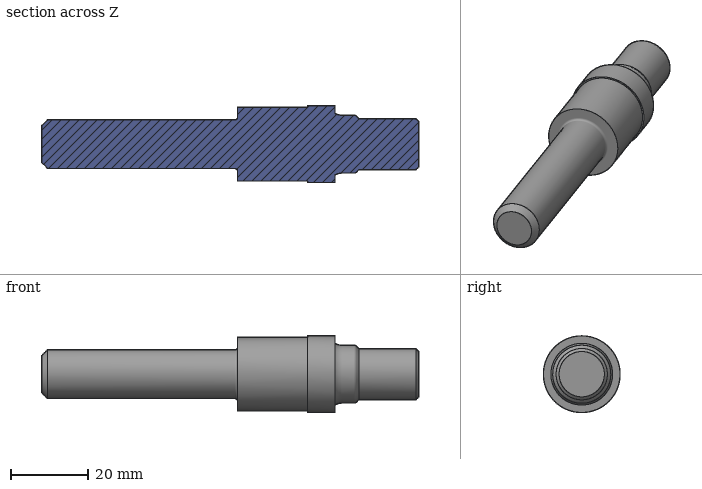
import cadquery as cq
import math

total_length = 97.8
collar_start = 50.8
flange_start = 68.9
flange_end = 76.1
shoulder_start = 77.8
spigot_start = 82.2

shaft_radius = 6.4
collar_radius = 9.6
flange_radius = 10.0
shoulder_radius = 7.5
spigot_radius = 6.65

shaft_chamfer = 1.6
shaft_fillet = 0.6
spigot_chamfer = 0.8
shoulder_round = 0.9
root_fillet = 3.5
bevel_angle = math.radians(45)

root_angle = math.asin((shoulder_start - flange_end) / root_fillet)
root_radius = shoulder_radius + root_fillet * (1 - math.cos(root_angle))
root_middle = (
    shoulder_start - root_fillet * math.sin(root_angle / 2),
    shoulder_radius + root_fillet * (1 - math.cos(root_angle / 2)),
)

round_drop = shoulder_round * (1 - math.cos(bevel_angle))
round_length = shoulder_round * math.sin(bevel_angle)
bevel_top_radius = shoulder_radius - round_drop
bevel_start = spigot_start - (bevel_top_radius - spigot_radius) / math.tan(bevel_angle)
round_start = bevel_start - round_length
round_middle = (
    round_start + shoulder_round * math.sin(bevel_angle / 2),
    shoulder_radius - shoulder_round * (1 - math.cos(bevel_angle / 2)),
)

fillet_start = collar_start - shaft_fillet
fillet_half_angle = math.radians(90) / 2
fillet_middle = (
    fillet_start + shaft_fillet * math.sin(fillet_half_angle),
    shaft_radius + shaft_fillet * (1 - math.cos(fillet_half_angle)),
)

profile = (
    cq.Workplane("XZ")
    .moveTo(0, 0)
    .lineTo(0, shaft_radius - shaft_chamfer)
    .lineTo(shaft_chamfer, shaft_radius)
    .lineTo(fillet_start, shaft_radius)
    .threePointArc(fillet_middle, (collar_start, shaft_radius + shaft_fillet))
    .lineTo(collar_start, collar_radius)
    .lineTo(flange_start, collar_radius)
    .lineTo(flange_start, flange_radius)
    .lineTo(flange_end, flange_radius)
    .lineTo(flange_end, root_radius)
    .threePointArc(root_middle, (shoulder_start, shoulder_radius))
    .lineTo(round_start, shoulder_radius)
    .threePointArc(round_middle, (bevel_start, bevel_top_radius))
    .lineTo(spigot_start, spigot_radius)
    .lineTo(total_length - spigot_chamfer, spigot_radius)
    .lineTo(total_length, spigot_radius - spigot_chamfer)
    .lineTo(total_length, 0)
    .close()
)

result = profile.revolve(360, (0, 0, 0), (1, 0, 0))